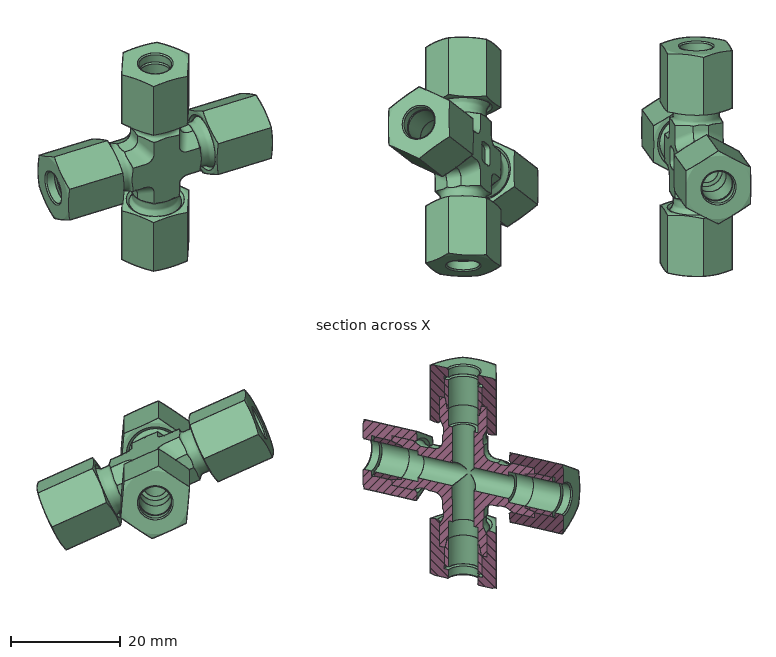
import cadquery as cq
import math

ARM_ANGLES = (0, 90, 180, 270)
REACH = 42 / 2
HEXAGON_HALF_ANGLE = 30

CORE_ACROSS_FLATS = 9.0
ARM_WIDTH = 8.75
CORNER_RADIUS = 1.72
SHOULDER_HEIGHT = 6.95
RELIEF_RADIUS = 0.85
BADGE_WIDTH = 4.0
BADGE_CORNER_RADIUS = 1.0
BADGE_DEPTH = 1.0

NECK_DIAMETER = 8.4
NECK_TOP = 8.78
THREAD_DIAMETER = 10.0
THREAD_LEAD_ANGLE = 30
SPIGOT_END = 15.0
BORE_DIAMETER = 4.5
TUBE_DIAMETER = 6.0
TUBE_STOP = 9.5

RING_DIAMETER = 8.0
RING_TOP = 18.7
NOSE_DIAMETER = 7.5
NOSE_LENGTH = 2.0
NOSE_HALF_ANGLE = 12

NUT_ACROSS_FLATS = 12.0
NUT_BOTTOM = 9.58
NUT_CAVITY_TOP = 19.15
NUT_CHAMFER_ANGLE = 15
NUT_CORE_DIAMETER = 8.9
NUT_MOUTH_DIAMETER = 10.6
TUBE_HOLE_CHAMFER = 0.25


def tan_deg(angle):
    return math.tan(math.radians(angle))


def revolve_about_z(outline):
    """Revolve a closed outline, drawn as (radius, height) in XZ, about the Z axis."""
    return outline.close().revolve(360, (0, 0, 0), (0, 1, 0))


def cylinder(diameter, bottom, top):
    return cq.Workplane("XY").workplane(offset=bottom).circle(diameter / 2).extrude(top - bottom)


def on_arm(shape, angle):
    return shape.rotate((0, 0, 0), (1, 0, 0), angle)



def quarter_turns(point, count):
    """Turn a (Y, Z) point about the centre in steps of 90 degrees."""
    y, z = point
    for _ in range(count):
        y, z = -z, y
    return (y, z)


def cross_outline(x, half_width, arm_end):
    """Cross-shaped wire in the plane at x, with rounded inner corners."""
    tangent = half_width + CORNER_RADIUS
    arc_middle = tangent - CORNER_RADIUS * math.sqrt(0.5)
    corner_path = [
        (tangent, half_width),
        (arc_middle, arc_middle),
        (half_width, tangent),
        (half_width, arm_end),
    ]
    outline = cq.Workplane("YZ", origin=(x, 0, 0)).moveTo(arm_end, half_width)
    for turn in range(len(ARM_ANGLES)):
        arc_start, middle, arc_end, last_tip = [quarter_turns(point, turn) for point in corner_path]
        first_tip = quarter_turns((arm_end, half_width), turn)
        if turn > 0:
            outline = outline.lineTo(*first_tip)
        outline = outline.lineTo(*arc_start).threePointArc(middle, arc_end).lineTo(*last_tip)
    return outline.close().wires().val()


def make_core():
    """Solid cross whose arms are hexagons with two opposite corners cut off."""
    arm_end = SHOULDER_HEIGHT + RELIEF_RADIUS
    flat_x = CORE_ACROSS_FLATS / 2
    flat_half_width = flat_x * tan_deg(HEXAGON_HALF_ANGLE)
    side_half_width = ARM_WIDTH / 2
    side_x = (2 * flat_half_width - side_half_width) / tan_deg(HEXAGON_HALF_ANGLE)
    sections = [
        cross_outline(-flat_x, flat_half_width, arm_end),
        cross_outline(-side_x, side_half_width, arm_end),
        cross_outline(side_x, side_half_width, arm_end),
        cross_outline(flat_x, flat_half_width, arm_end),
    ]
    return cq.Workplane(cq.Solid.makeLoft(sections, True))


def make_shoulder_cutter():
    """Ring that trims the end of a hexagonal arm to a flat shoulder with a fillet to the neck."""
    neck = NECK_DIAMETER / 2
    fillet_outer = neck + RELIEF_RADIUS
    fillet_top = SHOULDER_HEIGHT + RELIEF_RADIUS
    arc_offset = RELIEF_RADIUS * math.sqrt(0.5)
    outside = CORE_ACROSS_FLATS
    return revolve_about_z(
        cq.Workplane("XZ")
        .moveTo(neck, fillet_top)
        .threePointArc((fillet_outer - arc_offset, fillet_top - arc_offset), (fillet_outer, SHOULDER_HEIGHT))
        .lineTo(outside, SHOULDER_HEIGHT)
        .lineTo(outside, fillet_top)
    )


def make_spigot():
    """Neck, lead-in cone and thread of one arm, starting at the centre of the cross."""
    neck = NECK_DIAMETER / 2
    thread = THREAD_DIAMETER / 2

    def relief_point(angle):
        turn = math.radians(angle)
        return (neck + RELIEF_RADIUS * (1 - math.cos(turn)), NECK_TOP + RELIEF_RADIUS * math.sin(turn))

    cone_start = relief_point(THREAD_LEAD_ANGLE)
    thread_start = cone_start[1] + (thread - cone_start[0]) / tan_deg(THREAD_LEAD_ANGLE)
    return revolve_about_z(
        cq.Workplane("XZ")
        .lineTo(neck, 0)
        .lineTo(neck, NECK_TOP)
        .threePointArc(relief_point(THREAD_LEAD_ANGLE / 2), cone_start)
        .lineTo(thread, thread_start)
        .lineTo(thread, SPIGOT_END)
        .lineTo(0, SPIGOT_END)
    )


def make_ring_nose():
    """Solid cone of the ring's nose, which is also the shape of the seat in the spigot."""
    entry = NOSE_DIAMETER / 2
    tip = entry - NOSE_LENGTH * tan_deg(NOSE_HALF_ANGLE)
    nose_end = SPIGOT_END - NOSE_LENGTH
    return revolve_about_z(
        cq.Workplane("XZ")
        .moveTo(0, nose_end)
        .lineTo(tip, nose_end)
        .lineTo(entry, SPIGOT_END)
        .lineTo(0, SPIGOT_END)
    )


def make_badge_recess():
    """Rounded square pocket in the flat on the -X side."""
    return (
        cq.Workplane("YZ", origin=(-CORE_ACROSS_FLATS / 2, 0, 0))
        .rect(BADGE_WIDTH, BADGE_WIDTH)
        .extrude(BADGE_DEPTH)
        .edges("|X")
        .fillet(BADGE_CORNER_RADIUS)
    )


def make_body():
    body = make_core()
    for angle in ARM_ANGLES:
        body = body.cut(on_arm(make_shoulder_cutter(), angle))
    for angle in ARM_ANGLES:
        body = body.union(on_arm(make_spigot(), angle))
    through_bore = cylinder(BORE_DIAMETER, -SPIGOT_END, SPIGOT_END)
    body = body.cut(through_bore.union(on_arm(through_bore, 90)))
    tube_socket = cylinder(TUBE_DIAMETER, TUBE_STOP, SPIGOT_END).union(make_ring_nose())
    for angle in ARM_ANGLES:
        body = body.cut(on_arm(tube_socket, angle))
    return body.cut(make_badge_recess())



def make_ring():
    """Ring with a tapered nose seated in the spigot and a collar inside the nut."""
    collar = cylinder(RING_DIAMETER, SPIGOT_END, RING_TOP)
    tube_hole = cylinder(TUBE_DIAMETER, SPIGOT_END - NOSE_LENGTH, RING_TOP)
    return collar.union(make_ring_nose()).cut(tube_hole)



def make_nut_envelope():
    """Turned outline that chamfers the corners of the hexagon at both ends."""
    face_radius = NUT_ACROSS_FLATS / 2
    outside = NUT_ACROSS_FLATS
    chamfer_height = (outside - face_radius) * tan_deg(NUT_CHAMFER_ANGLE)
    return revolve_about_z(
        cq.Workplane("XZ")
        .moveTo(0, NUT_BOTTOM)
        .lineTo(face_radius, NUT_BOTTOM)
        .lineTo(outside, NUT_BOTTOM + chamfer_height)
        .lineTo(outside, REACH - chamfer_height)
        .lineTo(face_radius, REACH)
        .lineTo(0, REACH)
    )


def make_nut_hole():
    """Core hole with its lead-in, ring cavity and tube hole of a nut, as one turned solid."""
    mouth = NUT_MOUTH_DIAMETER / 2
    core = NUT_CORE_DIAMETER / 2
    cavity = RING_DIAMETER / 2
    tube = TUBE_DIAMETER / 2
    return revolve_about_z(
        cq.Workplane("XZ")
        .moveTo(0, NUT_BOTTOM)
        .lineTo(mouth, NUT_BOTTOM)
        .lineTo(core, NUT_BOTTOM + mouth - core)
        .lineTo(core, SPIGOT_END)
        .lineTo(cavity, SPIGOT_END)
        .lineTo(cavity, NUT_CAVITY_TOP)
        .lineTo(tube, NUT_CAVITY_TOP)
        .lineTo(tube, REACH - TUBE_HOLE_CHAMFER)
        .lineTo(tube + TUBE_HOLE_CHAMFER, REACH)
        .lineTo(0, REACH)
    )


def make_nut():
    """Hexagonal nut whose inside is cut to the thread and lead-in cone of the spigot it sits on."""
    across_corners = NUT_ACROSS_FLATS / math.cos(math.radians(HEXAGON_HALF_ANGLE))
    hexagon = (
        cq.Workplane("XY")
        .workplane(offset=NUT_BOTTOM)
        .polygon(6, across_corners)
        .extrude(REACH - NUT_BOTTOM)
        .rotate((0, 0, 0), (0, 0, 1), HEXAGON_HALF_ANGLE)
    )
    return hexagon.intersect(make_nut_envelope()).cut(make_nut_hole()).cut(make_spigot())



body = make_body()
rings = [on_arm(make_ring(), angle) for angle in ARM_ANGLES]
nuts = [on_arm(make_nut(), angle) for angle in ARM_ANGLES]

result = cq.Compound.makeCompound([
    body.solids().val(),
    *[ring.solids().val() for ring in rings],
    *[nut.solids().val() for nut in nuts],
])